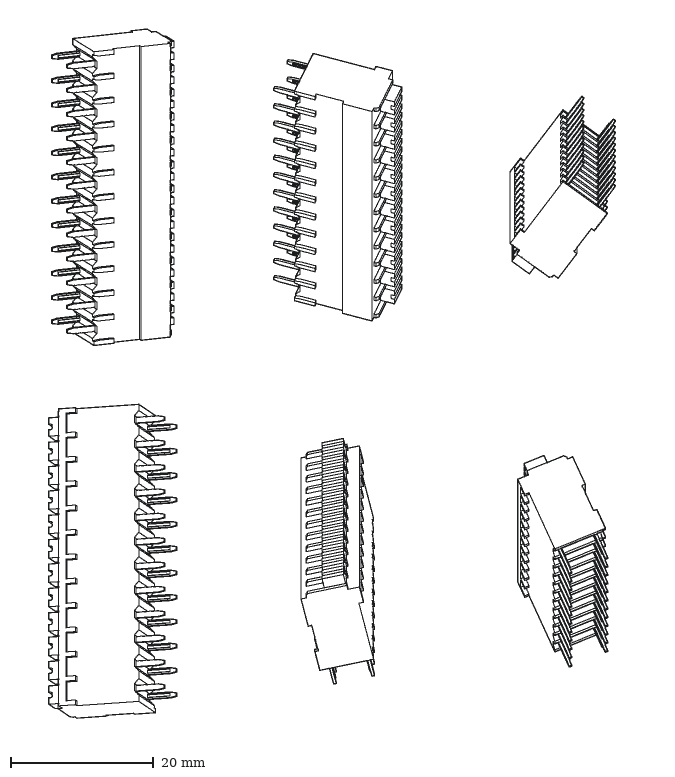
import cadquery as cq

position_count = 12
length = 42.7
pitch = 3.5
wall = length - position_count * pitch

overall_width = 8.4
left_lip = 0.65
right_lip = 0.5
left_edge = -overall_width / 2
right_edge = overall_width / 2
body_left = left_edge + left_lip
body_right = right_edge - right_lip

body_depth = 11.6
left_lip_end = 10.55
left_tab_end = 9.15
right_lip_end = 7.17
foot_depth = 3.07
foot_taper_length = 0.85
foot_taper = 0.13

groove_depth = 0.65
groove_floor = 1.02
groove_mouth = 2.4

rib_height = 0.65
rib_left_inset = 1.65
rib_right_inset = 0.75
rib_left = left_edge + rib_left_inset
rib_right = right_edge - rib_right_inset
rib_chamfer = 0.35

tooth_top = 13.65
tooth_inset = 1.85
tooth_left = left_edge + tooth_inset
tooth_width = 3.07
tooth_height = 2.65
notch_width = 0.75
notch_depth = 0.5
notch_corner_radius = 0.2

pin_tip = -3.5
pin_thickness = 0.4
pin_height = 0.8
pin_inset = 0.7
pin_taper_length = 0.85
pin_taper = 0.15
bead_thickness = 0.13
bead_height = 0.4

position_heights = [(i + 0.5 - position_count / 2) * pitch for i in range(position_count)]
wall_heights = [(i - position_count / 2) * pitch for i in range(position_count + 1)]


def box(x_min, x_max, y_min, y_max, z_center, height):
    """Box between X and Y limits, centred on a height along Z."""
    size = (x_max - x_min, y_max - y_min, height)
    return cq.Workplane("XY").box(*size, centered=(False, False, True)).translate((x_min, y_min, z_center))


def extrude_along_x(yz_points, x_min, x_max):
    """Prism along X with a closed outline given as (y, z) points."""
    return cq.Workplane("YZ").polyline(yz_points).close().extrude(x_max - x_min).translate((x_min, 0, 0))


def tapered_bar(x_min, x_max, y_tip, y_base, height, taper_length, taper):
    """Bar along Y whose upper and lower faces slope inwards near the -Y tip."""
    half = height / 2
    outline = [
        (y_base, -half),
        (y_tip + taper_length, -half),
        (y_tip, taper - half),
        (y_tip, half - taper),
        (y_tip + taper_length, half),
        (y_base, half),
    ]
    return extrude_along_x(outline, x_min, x_max)


def make_groove():
    """Trapezoidal groove across the board-side face."""
    outline = [
        (0, -groove_mouth / 2),
        (groove_depth, -groove_floor / 2),
        (groove_depth, groove_floor / 2),
        (0, groove_mouth / 2),
    ]
    return extrude_along_x(outline, body_left, body_right)


def make_tooth():
    """Coding tooth with a notch along X in its top, rounded in the bottom corners."""
    tooth = box(tooth_left, tooth_left + tooth_width, body_depth, tooth_top, 0, tooth_height)
    notch = box(tooth_left, tooth_left + tooth_width, tooth_top - notch_depth, tooth_top, 0, notch_width)
    notch = notch.edges("|X and <Y").fillet(notch_corner_radius)
    return tooth.cut(notch)


def make_rib():
    """Partition rib with its outer +X edge chamfered."""
    rib = box(rib_left, rib_right, body_depth, body_depth + rib_height, 0, wall)
    return rib.edges(">X and >Y").chamfer(rib_chamfer)


def make_pin(outer_x, inward):
    """Flat pin with a bead on its inner face; inward is the X direction (+1 or -1) to the middle."""
    inner_x = outer_x + inward * pin_thickness
    bead_x = inner_x + inward * bead_thickness
    blade = tapered_bar(
        min(outer_x, inner_x), max(outer_x, inner_x), pin_tip, groove_depth,
        pin_height, pin_taper_length, pin_taper,
    )
    bead = box(
        min(inner_x, bead_x), max(inner_x, bead_x), pin_tip + pin_taper_length, groove_depth,
        0, bead_height,
    )
    return blade.union(bead)


result = (
    box(body_left, body_right, 0, body_depth, 0, length)
    .union(box(left_edge, body_left, left_lip_end, body_depth, 0, length))
    .union(box(body_right, right_edge, right_lip_end, body_depth, 0, length))
)

left_tab = box(left_edge, body_left, left_tab_end, left_lip_end, 0, wall)
foot = tapered_bar(body_right, right_edge, 0, foot_depth, wall, foot_taper_length, foot_taper)
rib = make_rib()
for z in wall_heights:
    for feature in (left_tab, foot, rib):
        result = result.union(feature.translate((0, 0, z)))

for side in (-1, 1):
    flush_half = box(body_right, right_edge, 0, foot_depth, side * (length / 2 - wall / 4), wall / 2)
    result = result.union(flush_half)

groove = make_groove()
tooth = make_tooth()
left_pin = make_pin(body_left + pin_inset, 1)
right_pin = make_pin(body_right - pin_inset, -1)
for z in position_heights:
    result = result.cut(groove.translate((0, 0, z)))
    for feature in (tooth, left_pin, right_pin):
        result = result.union(feature.translate((0, 0, z)))